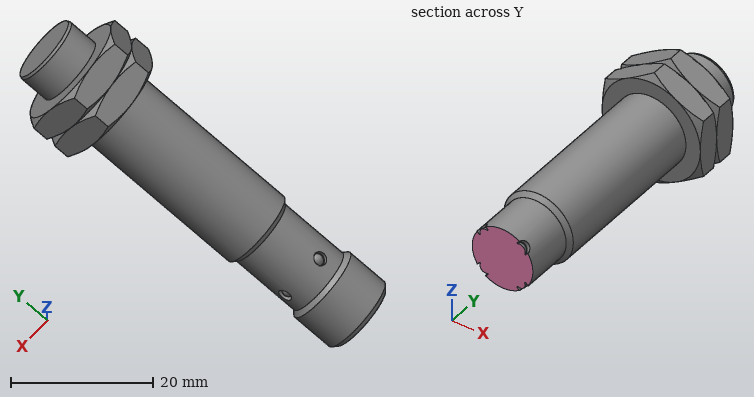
import cadquery as cq
import math

length = 60.0
body_radius = 6.0
neck_radius = 5.3
tail_radius = 5.3
edge_chamfer = body_radius - neck_radius

head_end = 8.0
neck_end = 19.0
tail_length = 5.0
tail_chamfer_axial = 0.4
tail_chamfer_radial = 0.2

nut_flats = 17.0
nut_thickness = 3.95
nut_sides = 6
nut_count = 2
nut_chamfer_angle = 30.0
nuts_end = length - tail_length

window_count = 4
window_start_angle = 45.0
window_y = 11.0
window_radius = 1.0
window_depth = 0.7
lens_radius = 0.9
lens_height = 0.6


def revolve_about_y(profile):
    """Turn a closed (radius, y) profile around the Y axis."""
    return cq.Workplane("XY").polyline(profile).close().revolve(360, (0, 0, 0), (0, 1, 0))


def make_barrel():
    return revolve_about_y([
        (0, 0),
        (body_radius - edge_chamfer, 0),
        (body_radius, edge_chamfer),
        (body_radius, head_end - edge_chamfer),
        (neck_radius, head_end),
        (neck_radius, neck_end),
        (body_radius, neck_end + edge_chamfer),
        (body_radius, nuts_end),
        (tail_radius, nuts_end),
        (tail_radius, length - tail_chamfer_axial),
        (tail_radius - tail_chamfer_radial, length),
        (0, length),
    ])


def make_nut(start_y):
    """Hexagonal nut with flats facing +/-X and both faces chamfered."""
    corner_radius = nut_flats / 2 / math.cos(math.pi / nut_sides)
    chamfer_radial = corner_radius - nut_flats / 2
    chamfer_axial = chamfer_radial * math.tan(math.radians(nut_chamfer_angle))
    end_y = start_y + nut_thickness
    hexagon = (
        cq.Workplane("XZ", origin=(0, start_y, 0))
        .polygon(nut_sides, 2 * corner_radius)
        .extrude(-nut_thickness)
        .rotate((0, 0, 0), (0, 1, 0), 180 / nut_sides)
    )
    chamfer_envelope = revolve_about_y([
        (0, start_y),
        (nut_flats / 2, start_y),
        (corner_radius, start_y + chamfer_axial),
        (corner_radius, end_y - chamfer_axial),
        (nut_flats / 2, end_y),
        (0, end_y),
    ])
    return hexagon.intersect(chamfer_envelope)


def make_window(angle):
    """Cutter for a round radial recess that leaves a domed lens standing on its floor."""
    floor_z = neck_radius - window_depth
    sphere_radius = (lens_radius ** 2 + lens_height ** 2) / (2 * lens_height)
    lens_center_z = floor_z + lens_height - sphere_radius
    lens = cq.Workplane("XY", origin=(0, window_y, lens_center_z)).sphere(sphere_radius)
    return (
        cq.Workplane("XY", origin=(0, window_y, floor_z))
        .circle(window_radius)
        .extrude(2 * window_depth)
        .cut(lens)
        .rotate((0, 0, 0), (0, 1, 0), angle)
    )


result = make_barrel()
for index in range(nut_count):
    result = result.union(make_nut(nuts_end - (index + 1) * nut_thickness))
for index in range(window_count):
    result = result.cut(make_window(window_start_angle + index * 360 / window_count))